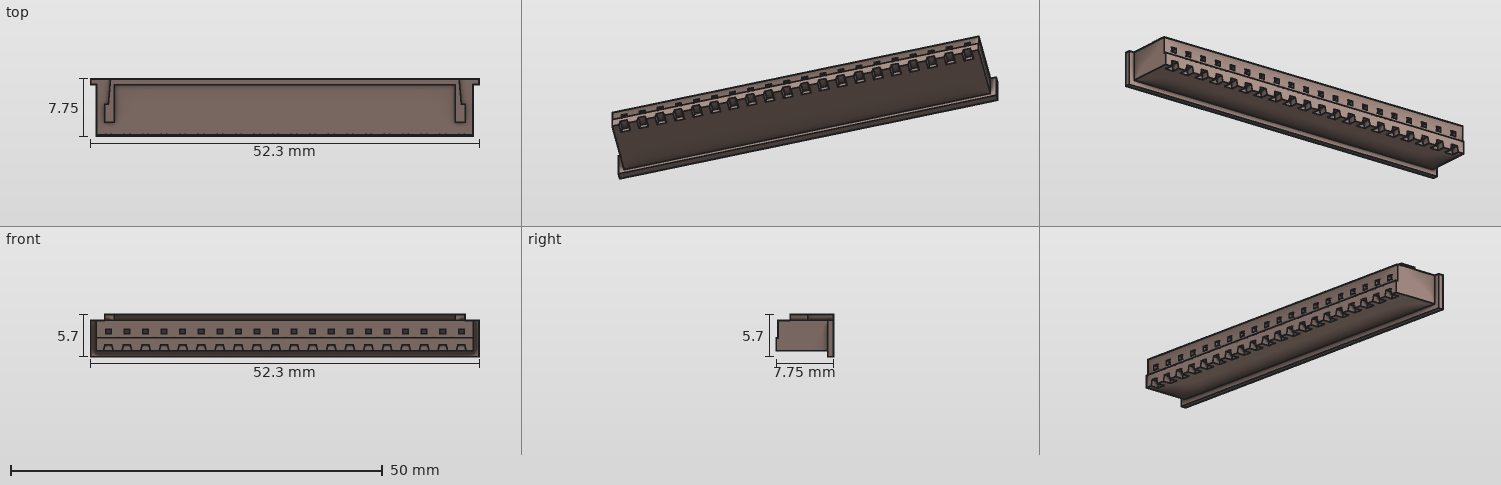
import cadquery as cq

CONTACT_COUNT = 20
CONTACT_PITCH = 2.5

FLANGE_LENGTH = 52.3
DEPTH = 7.75
HEIGHT = 5.7
WALL = 0.8

BODY_LENGTH = FLANGE_LENGTH - 2 * WALL
BODY_TOP = HEIGHT - WALL
BODY_BOTTOM = WALL
LIP_TOP = 2.55
LIP_DEPTH = 0.25

RAIL_INNER_HALF = 22.95
RAIL_BACK_HALF = 23.45
RAIL_NECK_HALF = 23.75
RAIL_HEAD_HALF = 24.25
RAIL_HEAD_START = 3.45
RAIL_ARM_END = 5.85

PIN_HOLE_WIDTH = 0.75
PIN_HOLE_HEIGHT = 0.65
PIN_HOLE_CENTER_Z = 3.4
PIN_HOLE_DEPTH = 6.0

NOTCH_TOP_WIDTH = 0.9
NOTCH_BOTTOM_WIDTH = 1.3
NOTCH_TOP_Z = 1.65
NOTCH_DEPTH = 1.2


def make_flange():
    """Thin back plate, overhanging the body at both ends and below."""
    plate = cq.Workplane("XY").box(FLANGE_LENGTH, WALL, BODY_TOP, centered=(True, False, False))
    return plate.translate((0, -WALL, 0))


def make_body():
    """Housing block whose lower front stands slightly proud as a lip."""
    profile = [
        (0, BODY_BOTTOM),
        (-DEPTH, BODY_BOTTOM),
        (-DEPTH, LIP_TOP),
        (-DEPTH + LIP_DEPTH, LIP_TOP),
        (-DEPTH + LIP_DEPTH, BODY_TOP),
        (0, BODY_TOP),
    ]
    return cq.Workplane("YZ").polyline(profile).close().extrude(BODY_LENGTH / 2, both=True)


def make_rail():
    """U-shaped rail with wider heads on its slightly flared arms."""
    right_side = [
        (RAIL_INNER_HALF, -WALL),
        (RAIL_INNER_HALF, -RAIL_ARM_END),
        (RAIL_HEAD_HALF, -RAIL_ARM_END),
        (RAIL_HEAD_HALF, -RAIL_HEAD_START),
        (RAIL_NECK_HALF, -RAIL_HEAD_START),
        (RAIL_BACK_HALF, 0),
    ]
    left_side = [(-x, y) for x, y in reversed(right_side)]
    base = cq.Workplane("XY").workplane(offset=BODY_TOP)
    return base.polyline(right_side + left_side).close().extrude(HEIGHT - BODY_TOP)


def contact_positions():
    """X centers of the contacts, symmetric about X = 0."""
    first = -(CONTACT_COUNT - 1) * CONTACT_PITCH / 2
    return [first + index * CONTACT_PITCH for index in range(CONTACT_COUNT)]


def front_plane():
    """Plane on the front face, with local X and Y along global X and Z and its normal facing -Y."""
    return cq.Workplane("XZ", origin=(0, -DEPTH, 0))


def make_pin_holes():
    """Blind rectangular holes, one for each contact."""
    centers = [(x, PIN_HOLE_CENTER_Z) for x in contact_positions()]
    return front_plane().pushPoints(centers).rect(PIN_HOLE_WIDTH, PIN_HOLE_HEIGHT).extrude(-PIN_HOLE_DEPTH)


def make_notch(x):
    """Trapezoidal notch centered at x, open at the front and underneath."""
    outline = [
        (x - NOTCH_BOTTOM_WIDTH / 2, BODY_BOTTOM),
        (x - NOTCH_TOP_WIDTH / 2, NOTCH_TOP_Z),
        (x + NOTCH_TOP_WIDTH / 2, NOTCH_TOP_Z),
        (x + NOTCH_BOTTOM_WIDTH / 2, BODY_BOTTOM),
    ]
    return front_plane().polyline(outline).close().extrude(-NOTCH_DEPTH)


result = make_flange().union(make_body()).union(make_rail())
result = result.cut(make_pin_holes())
for contact_x in contact_positions():
    result = result.cut(make_notch(contact_x))